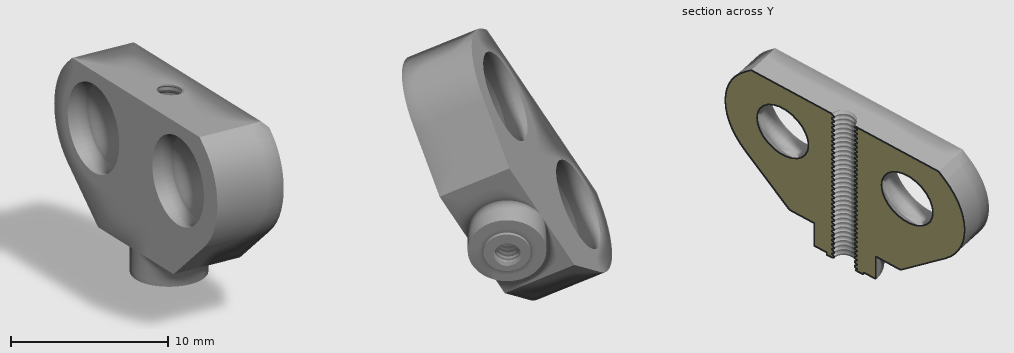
import cadquery as cq
import math

width = 19.27
thickness = 5.0
height = 10.6
hole_spacing = 10.0
hole_drop = 3.95
side_slope = 41.4
top_edge_chamfer = 0.35

screw_hole_diameter = 3.4
screw_head_diameter = 6.1
screw_head_depth = 1.5
countersink_angle = 90.0

foot_diameter = 5.0
foot_length = 2.0
tip_diameter = 3.0
tip_length = 0.2

thread_x = 0.05
thread_minor_diameter = 1.62
thread_major_diameter = 2.0
thread_pitch = 0.4
thread_root_flat = thread_pitch / 8
thread_flank_angle = 30.0
thread_start_angle = 20.0

total_height = height + foot_length + tip_length


def make_plate():
    """Plate with rounded ends that run tangentially into straight sloping sides."""
    slope = math.radians(side_slope)
    end_radius = (width - hole_spacing) / 2
    tangent_x = hole_spacing / 2 + end_radius * math.sin(slope)
    tangent_rise = end_radius * math.cos(slope)
    upper_z = -hole_drop + tangent_rise
    lower_z = -hole_drop - tangent_rise
    top_x = tangent_x + upper_z / math.tan(slope)
    bottom_x = tangent_x - (height + lower_z) / math.tan(slope)

    outline = (
        cq.Workplane("XZ", origin=(0, thickness / 2, 0))
        .moveTo(-top_x, 0)
        .lineTo(top_x, 0)
        .lineTo(tangent_x, upper_z)
        .threePointArc((width / 2, -hole_drop), (tangent_x, lower_z))
        .lineTo(bottom_x, -height)
        .lineTo(-bottom_x, -height)
        .lineTo(-tangent_x, lower_z)
        .threePointArc((-width / 2, -hole_drop), (-tangent_x, upper_z))
        .close()
    )
    plate = outline.extrude(thickness)
    return plate.faces(">Z").edges(">Y").chamfer(top_edge_chamfer)


def make_foot():
    """Round foot with a thinner, shallow tip at its end."""
    foot = cq.Workplane("XY", origin=(0, 0, -height)).circle(foot_diameter / 2).extrude(-foot_length)
    return foot.faces("<Z").workplane().circle(tip_diameter / 2).extrude(tip_length)


def make_screw_hole(x):
    """Straight head recess, conical seat and through hole, revolved about one Y-parallel axis."""
    head_radius = screw_head_diameter / 2
    hole_radius = screw_hole_diameter / 2
    cone_depth = (head_radius - hole_radius) / math.tan(math.radians(countersink_angle / 2))
    front = -thickness / 2
    cone_start = front + screw_head_depth
    profile = (
        cq.Workplane("XY", origin=(x, 0, -hole_drop))
        .moveTo(0, front)
        .lineTo(head_radius, front)
        .lineTo(head_radius, cone_start)
        .lineTo(hole_radius, cone_start + cone_depth)
        .lineTo(hole_radius, thickness / 2)
        .lineTo(0, thickness / 2)
        .close()
    )
    return profile.revolve(360, (0, 0, 0), (0, 1, 0))


def make_thread_groove():
    """Helical V groove, one pitch longer than the part at both ends."""
    minor_radius = thread_minor_diameter / 2
    major_radius = thread_major_diameter / 2
    overlap = minor_radius / 20
    inner_radius = minor_radius - overlap
    root_half = thread_root_flat / 2
    mouth_half = root_half + (major_radius - inner_radius) * math.tan(math.radians(thread_flank_angle))
    start_z = -total_height - thread_pitch

    helix = cq.Wire.makeHelix(thread_pitch, total_height + 2 * thread_pitch, minor_radius)
    profile = cq.Workplane("XZ").polyline([
        (inner_radius, -mouth_half),
        (major_radius, -root_half),
        (major_radius, root_half),
        (inner_radius, mouth_half),
    ]).close()
    groove = profile.sweep(cq.Workplane(obj=helix), isFrenet=True)
    return groove.rotate((0, 0, 0), (0, 0, 1), thread_start_angle).translate((thread_x, 0, start_z))


result = make_plate().union(make_foot())

for side in (-1, 1):
    result = result.cut(make_screw_hole(side * hole_spacing / 2))

bore = cq.Workplane("XY").center(thread_x, 0).circle(thread_minor_diameter / 2).extrude(-total_height)
result = result.cut(make_thread_groove()).cut(bore)